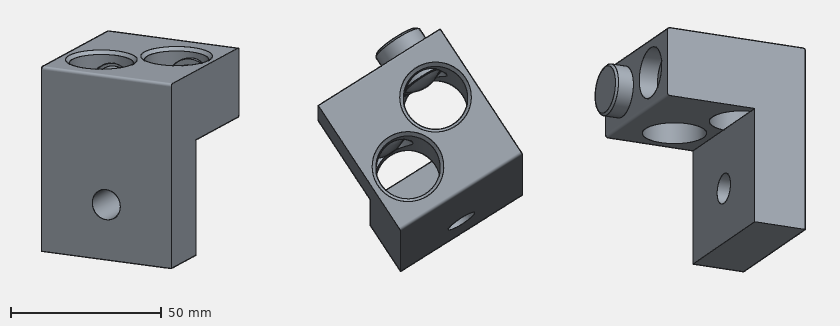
import cadquery as cq

width = 48.25
height = 63.75
head_depth = 50.9
head_height = 23.9
leg_depth = 18.7
edge_radius = 1.0

bore_diameter = 21.4
bore_countersink = 1.2
bore_offset = 10.25
left_bore_y = 17.0
right_bore_y = 32.0

mount_diameter = 10.4
mount_z = 19.1

screw_diameter = 17.45
screw_length = 18.25
screw_chamfer = 0.75
tap_hole_diameter = 15.75
dome_diameter = 13.5
dome_height = 2.15
screw_offset = 11.0
left_tip_y = 26.25
right_tip_y = 38.9

center_x = width / 2
screw_z = height - head_height / 2
bore_centers = [(center_x - bore_offset, left_bore_y), (center_x + bore_offset, right_bore_y)]
screw_tips = [(center_x - screw_offset, left_tip_y), (center_x + screw_offset, right_tip_y)]


def make_block():
    """L-shaped block with rounded head edges."""
    head_bottom = height - head_height
    block = (
        cq.Workplane("YZ")
        .polyline([
            (0, 0),
            (leg_depth, 0),
            (leg_depth, head_bottom),
            (head_depth, head_bottom),
            (head_depth, height),
            (0, height),
        ])
        .close()
        .extrude(width)
    )
    block = block.faces(">Y").edges("|X").fillet(edge_radius)
    return block.faces("<Y").edges("|X and >Z").fillet(edge_radius)


def cut_bores(block):
    """Bores through the head only, countersunk at the top; the leg below stays solid."""
    bore_radius = bore_diameter / 2
    rim_radius = bore_radius + bore_countersink
    for x, y in bore_centers:
        bore = (
            cq.Workplane("XZ")
            .polyline([
                (0, height - head_height),
                (bore_radius, height - head_height),
                (bore_radius, height - bore_countersink),
                (rim_radius, height),
                (0, height),
            ])
            .close()
            .revolve(360, (0, 0), (0, 1))
            .translate((x, y, 0))
        )
        block = block.cut(bore)
    return block


def cut_mounting_hole(block):
    """Plain hole through the leg, front to back."""
    hole = cq.Workplane("XZ").center(center_x, mount_z).circle(mount_diameter / 2).extrude(-leg_depth)
    return block.cut(hole)


def cut_screw_holes(block):
    """Tap holes into each bore, widened to the full screw diameter where the screw body sits."""
    for (x, tip_y), (_, bore_y) in zip(screw_tips, bore_centers):
        for diameter, start_y in [(tap_hole_diameter, bore_y), (screw_diameter, tip_y + dome_height)]:
            hole = (
                cq.Workplane("XZ", origin=(x, start_y, screw_z))
                .circle(diameter / 2)
                .extrude(-(head_depth - start_y))
            )
            block = block.cut(hole)
    return block


def make_screw(x, tip_y):
    """Clamp screw with a smaller domed tip facing -Y and a chamfered back end."""
    radius = screw_diameter / 2
    dome_radius = dome_diameter / 2
    sphere_radius = (dome_radius**2 + dome_height**2) / (2 * dome_height)
    mid_radius = dome_radius / 2
    mid_y = sphere_radius - (sphere_radius**2 - mid_radius**2) ** 0.5
    return (
        cq.Workplane("XY")
        .moveTo(0, 0)
        .threePointArc((mid_radius, mid_y), (dome_radius, dome_height))
        .lineTo(radius, dome_height)
        .lineTo(radius, screw_length - screw_chamfer)
        .lineTo(radius - screw_chamfer, screw_length)
        .lineTo(0, screw_length)
        .close()
        .revolve(360, (0, 0), (0, 1))
        .translate((x, tip_y, screw_z))
    )


block = cut_screw_holes(cut_mounting_hole(cut_bores(make_block())))
screws = [make_screw(x, tip_y) for x, tip_y in screw_tips]

result = cq.Compound.makeCompound([block.val(), *[screw.val() for screw in screws]])